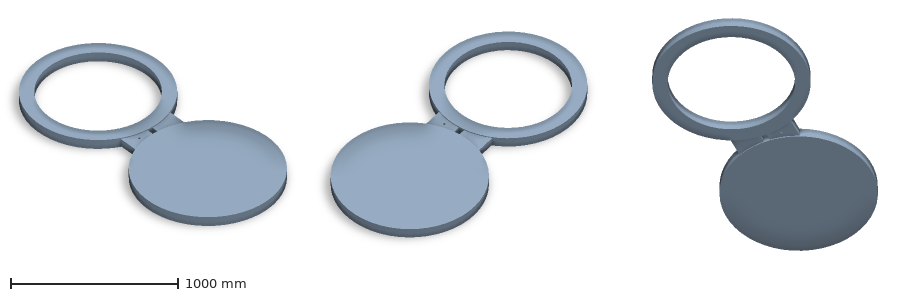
import cadquery as cq

disc_diameter = 946.15
thickness = 66.675
disc_gap = 50.8
ring_opening_diameter = 762.0

bridge_recess = 6.35
bridge_thickness = thickness - 2 * bridge_recess
bridge_width = 177.8
bridge_spacing = 38.1
bridge_offset = (bridge_spacing + bridge_width) / 2

pin_hole_diameter = 14.2875

disc_radius = disc_diameter / 2
center_offset = disc_radius + disc_gap / 2


def round_plate(x_center):
    """Full-thickness round plate, centred on the mid-plane Z = 0."""
    return cq.Workplane("XY").center(x_center, 0).circle(disc_radius).extrude(thickness / 2, both=True)


def ring_opening():
    """Cutter for the open middle of the ring."""
    return (
        cq.Workplane("XY")
        .center(-center_offset, 0)
        .circle(ring_opening_diameter / 2)
        .extrude(thickness, both=True)
    )


def bridge(y_center):
    """Flat bar running from the ring centre to the disc centre."""
    return cq.Workplane("XY").center(0, y_center).box(2 * center_offset, bridge_width, bridge_thickness)


def pin_hole(y_center):
    """Cutter for a vertical hole midway between ring and disc."""
    return cq.Workplane("XY").center(0, y_center).circle(pin_hole_diameter / 2).extrude(thickness, both=True)


body = round_plate(-center_offset).union(round_plate(center_offset))
for side in (-1, 1):
    body = body.union(bridge(side * bridge_offset))

result = body.cut(ring_opening()).cut(pin_hole(-bridge_offset))